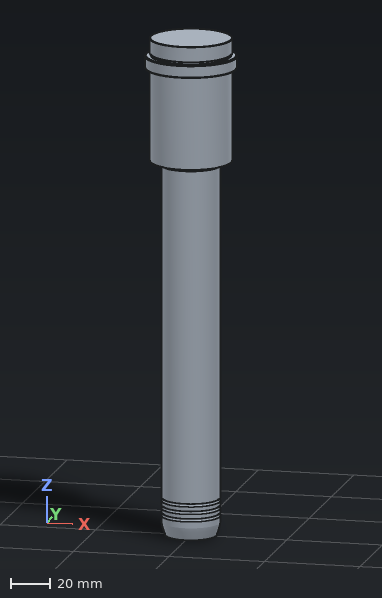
import cadquery as cq

total_length = 260.0
flange_diameter = 47.0
head_diameter = 42.0
shaft_diameter = 30.2

head_length = 64.2
rim_chamfer = 0.3
flange_top_depth = 9.0
flange_height = 6.8
flange_chamfer = 0.5
flange_groove_height = 1.0
flange_groove_depth = 0.5

relief_height = 2.3
relief_depth = 0.5

groove_count = 3
groove_pitch = 4.0
groove_radius = 0.8
lowest_groove_height = 11.0

lead_in_height = 6.8
lead_in_bulge = 0.3
tip_diameter = 26.5


def cylinder(diameter, bottom, height):
    """Solid cylinder on the Z axis."""
    return cq.Workplane("XY").workplane(offset=bottom).circle(diameter / 2).extrude(height)


def ring_cut(diameter, bottom, height, depth):
    """Ring that cuts a groove of the given depth into a cylinder."""
    outer = cylinder(diameter + 2 * depth, bottom, height)
    return outer.cut(cylinder(diameter - 2 * depth, bottom, height))


def round_groove_cut(diameter, middle, radius):
    """Torus that cuts a half-round groove into a cylinder."""
    profile = cq.Workplane("XZ").center(diameter / 2, middle).circle(radius)
    return profile.revolve(360, (-diameter / 2, 0, 0), (-diameter / 2, 1, 0))


def shaft():
    """Straight shaft with a convex lead-in at its tip."""
    tip_radius = tip_diameter / 2
    shaft_radius = shaft_diameter / 2
    middle_radius = (tip_radius + shaft_radius) / 2 + lead_in_bulge
    return (
        cq.Workplane("XZ")
        .lineTo(tip_radius, 0)
        .threePointArc((middle_radius, lead_in_height / 2), (shaft_radius, lead_in_height))
        .lineTo(shaft_radius, head_bottom)
        .lineTo(0, head_bottom)
        .close()
        .revolve(360, (0, 0, 0), (0, 1, 0))
    )


head_bottom = total_length - head_length
flange_top = total_length - flange_top_depth
flange_bottom = flange_top - flange_height

pillar = shaft()
pillar = pillar.cut(ring_cut(shaft_diameter, head_bottom - relief_height, relief_height, relief_depth))
for index in range(groove_count):
    groove_middle = lowest_groove_height + index * groove_pitch
    pillar = pillar.cut(round_groove_cut(shaft_diameter, groove_middle, groove_radius))

head = cylinder(head_diameter, head_bottom, head_length).faces(">Z").edges().chamfer(rim_chamfer)
head = head.cut(ring_cut(head_diameter, flange_top, flange_groove_height, flange_groove_depth))

flange = cylinder(flange_diameter, flange_bottom, flange_height).edges().chamfer(flange_chamfer)

result = pillar.union(head).union(flange)